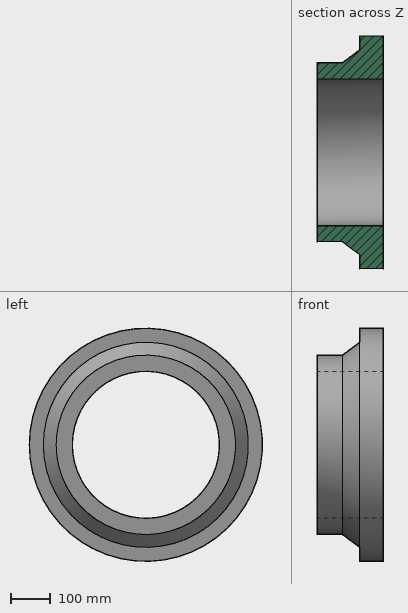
import cadquery as cq

flange_diameter = 585.0
neck_diameter = 450.0
bore_diameter = 368.0
hub_diameter = 514.0

total_length = 166.0
flange_thickness = 59.5
neck_length = 63.0

flange_start = total_length - flange_thickness

half_section = (
    cq.Workplane("XY")
    .moveTo(0, bore_diameter / 2)
    .lineTo(0, neck_diameter / 2)
    .lineTo(neck_length, neck_diameter / 2)
    .lineTo(flange_start, hub_diameter / 2)
    .lineTo(flange_start, flange_diameter / 2)
    .lineTo(total_length, flange_diameter / 2)
    .lineTo(total_length, bore_diameter / 2)
    .close()
)

result = half_section.revolve(360, (0, 0, 0), (1, 0, 0))